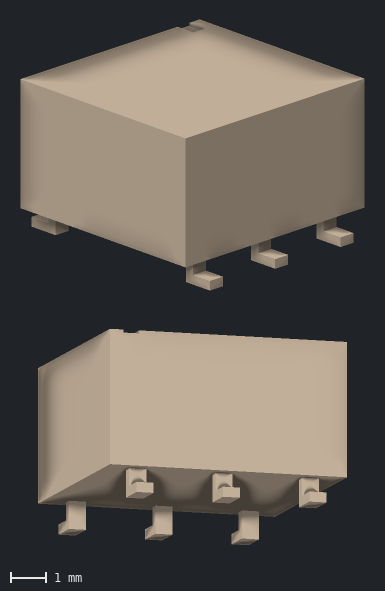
import cadquery as cq

overall_width = 7.2
overall_depth = 6.97
overall_height = 4.65

body_width = 6.66
standoff = 0.8
body_height = overall_height - standoff

leads_per_side = 3
lead_pitch = 2.54
lead_breadth = 0.505
lead_thickness = 0.29
foot_length = 0.97

mark_length = 0.65
mark_breadth = 0.46
mark_depth = 0.09
mark_edge_gap = 0.395


def make_body():
    """Plain block raised above the board by the standoff."""
    return (
        cq.Workplane("XY")
        .workplane(offset=standoff)
        .rect(body_width, overall_depth)
        .extrude(body_height)
    )


def make_lead(side, y_center):
    """L-shaped lead under the body, its foot pointing outward (side is -1 or +1)."""
    toe = side * overall_width / 2
    heel = toe - side * foot_length
    shin = heel + side * lead_thickness
    return (
        cq.Workplane("XZ", origin=(0, y_center, 0))
        .moveTo(toe, 0)
        .lineTo(heel, 0)
        .lineTo(heel, standoff)
        .lineTo(shin, standoff)
        .lineTo(shin, lead_thickness)
        .lineTo(toe, lead_thickness)
        .close()
        .extrude(lead_breadth / 2, both=True)
    )


def make_mark():
    """Cutter for the pin-one mark near the +Y end of the -X top edge."""
    return cq.Workplane("XY").box(mark_length, mark_breadth, mark_depth, centered=False).translate(
        (
            -body_width / 2,
            overall_depth / 2 - mark_edge_gap - mark_breadth,
            overall_height - mark_depth,
        )
    )


result = make_body().cut(make_mark())

for side in (-1, 1):
    for index in range(leads_per_side):
        y_center = (index - (leads_per_side - 1) / 2) * lead_pitch
        result = result.union(make_lead(side, y_center))